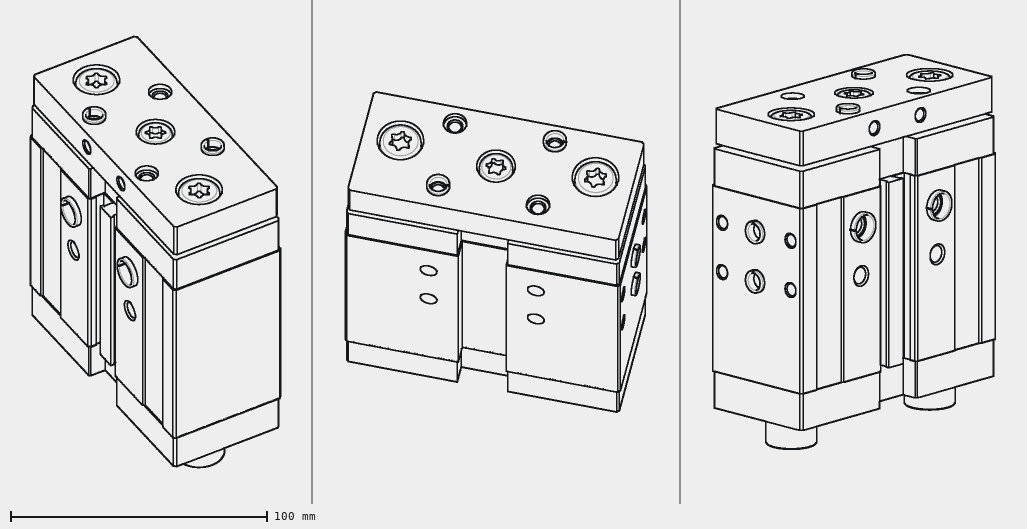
import cadquery as cq
import math


rod_overhang = 12.0
cap_height = 15.0
profile_height = 75.1
yoke_gap = 2.0
yoke_height = 14.0

lower_cap_z = rod_overhang
profile_z = lower_cap_z + cap_height
upper_cap_z = profile_z + profile_height
yoke_z = upper_cap_z + cap_height + yoke_gap
yoke_top = yoke_z + yoke_height

profile_width = 110.0
profile_depth = 48.9
step = 0.49
edge_chamfer = 1.0

slot_half_width = 9.6
slot_depth = 7.1
profile_slot_chamfer = 1.0
cap_slot_chamfer = 0.5
rib_width = 8.1
lip_depth = 3.2
undercut = 0.7
rib_front = 1.8

groove_inner = 31.1
groove_outer = 46.4
groove_depth = 1.0
groove_slope = 0.5

guide_diameter = 20.0
guide_spacing = 77.9
guide_y = -3.5
rod_chamfer = 0.4
piston_rod_diameter = 12.0
guide_x_places = [-guide_spacing / 2, guide_spacing / 2]

screw_head_sink = 0.4
guide_counterbore = 18.0
guide_head_diameter = 16.0
guide_head_height = 10.0
guide_head_rounding = 1.2
guide_torx_tip = 4.5
guide_torx_depth = 4.0
piston_counterbore = 15.0
piston_head_diameter = 13.0
piston_head_height = 8.0
piston_head_rounding = 0.8
piston_torx_tip = 3.9
piston_torx_depth = 3.0

torx_root_ratio = 0.72
torx_flank_ratio = 0.88
torx_lobe_angle = 10.0

small_sleeve = 9.0
small_sleeve_bore = 6.7
small_sleeve_rise = 1.8
large_sleeve = 12.0
large_sleeve_bore = 10.0
large_sleeve_rise = 2.4
sleeve_seat_depth = 2.2
sleeve_slit = 0.4

yoke_hole = 4.9
yoke_hole_sink = 6.0
yoke_hole_x = 20.0
yoke_hole_y = 15.0
yoke_hole_shift = -1.0
blind_hole = 4.9
blind_hole_sink = 5.9
blind_hole_depth = 10.8
drill_point_angle = 118.0
yoke_front_hole_x = 13.0

mount_hole = 6.6
mount_hole_sink = 8.2
mount_x = 21.5
upper_row_depth = 14.0
upper_row_z = upper_cap_z - upper_row_depth
row_spacing = 20.0
lower_row_z = upper_row_z - row_spacing
side_hole_y = 18.5

front_y = -profile_depth / 2
left_x = -profile_width / 2
yoke_front_y = front_y + 2 * step


def facing_up(x, y, z):
    return cq.Plane(origin=(x, y, z), xDir=(-1, 0, 0), normal=(0, 0, 1))


def facing_front(x, y, z):
    return cq.Plane(origin=(x, y, z), xDir=(-1, 0, 0), normal=(0, -1, 0))


def facing_left(x, y, z):
    return cq.Plane(origin=(x, y, z), xDir=(0, 0, 1), normal=(-1, 0, 0))


def cylinder(plane, diameter, start, end):
    return cq.Workplane(plane).workplane(offset=start).circle(diameter / 2).extrude(end - start)


def sunk_hole(plane, diameter, sink_diameter, depth, point=0.0):
    """Drilled hole with a 45 degree countersink and, if point is not zero, a conical bottom."""
    radius = diameter / 2
    sink_radius = sink_diameter / 2
    outline = [
        (0, 0),
        (sink_radius, 0),
        (radius, radius - sink_radius),
        (radius, -depth),
        (0, -depth - point),
    ]
    section = cq.Plane(origin=plane.origin, xDir=plane.xDir, normal=-plane.yDir)
    return cq.Workplane(section).polyline(outline).close().revolve(360, (0, 0), (0, 1))


def below(plane, depth):
    return cq.Plane(origin=plane.origin - plane.zDir * depth, xDir=plane.xDir, normal=plane.zDir)


def blind_sunk_hole(plane):
    point = blind_hole / 2 / math.tan(math.radians(drill_point_angle / 2))
    return sunk_hole(plane, blind_hole, blind_hole_sink, blind_hole_depth, point)


def slotted_block(inset, slot_chamfer, z, height):
    """Block with a chamfered front slot and a plain rear slot, every face moved in by inset."""
    width = profile_width - 2 * inset
    depth = profile_depth - 2 * inset
    slot_half = slot_half_width + inset
    floor_y = depth / 2 - slot_depth
    front = -depth / 2
    block = (
        cq.Workplane().rect(width, depth).extrude(height)
        .edges("|Z").chamfer(edge_chamfer)
    )
    front_slot = (
        cq.Workplane()
        .moveTo(-slot_half - slot_chamfer, front)
        .lineTo(-slot_half, front + slot_chamfer)
        .lineTo(-slot_half, -floor_y)
        .lineTo(slot_half, -floor_y)
        .lineTo(slot_half, front + slot_chamfer)
        .lineTo(slot_half + slot_chamfer, front)
        .close()
        .extrude(height)
    )
    rear_slot = (
        cq.Workplane()
        .center(0, depth / 2 - slot_depth / 2)
        .rect(2 * slot_half, slot_depth)
        .extrude(height)
    )
    return block.cut(front_slot).cut(rear_slot).translate((0, 0, z))


def bore_for_guides(body, z, height):
    for x in guide_x_places:
        body = body.cut(cylinder(facing_up(x, guide_y, z), guide_diameter, 0, height))
    return body


def bore_for_piston_rod(body, z, height):
    return body.cut(cylinder(facing_up(0, 0, z), piston_rod_diameter, 0, height))


yoke_sleeve_planes = [
    facing_up(-yoke_hole_x, yoke_hole_shift - yoke_hole_y, yoke_top),
    facing_up(yoke_hole_x, yoke_hole_shift + yoke_hole_y, yoke_top),
]
yoke_open_planes = [
    facing_up(-yoke_hole_x, yoke_hole_shift + yoke_hole_y, yoke_top),
    facing_up(yoke_hole_x, yoke_hole_shift - yoke_hole_y, yoke_top),
]
side_sleeve_planes = [facing_left(left_x, 0, z) for z in (upper_row_z, lower_row_z)]
front_sleeve_planes = [facing_front(x, front_y, upper_row_z) for x in (-mount_x, mount_x)]


def sensor_groove(side):
    outline = [
        (side * groove_inner, front_y),
        (side * (groove_inner + groove_slope), front_y + groove_depth),
        (side * (groove_outer - groove_slope), front_y + groove_depth),
        (side * groove_outer, front_y),
    ]
    return cq.Workplane().workplane(offset=profile_z).polyline(outline).close().extrude(profile_height)


def profile_rib():
    rib_depth = slot_depth - rib_front
    return (
        cq.Workplane()
        .workplane(offset=profile_z)
        .center(0, front_y + rib_front + rib_depth / 2)
        .rect(rib_width, rib_depth)
        .extrude(profile_height)
    )


def slot_undercut(side):
    """Pocket that widens one channel beside the rib, into the rib and into the slot wall."""
    inner = rib_width / 2 - undercut
    outer = slot_half_width + undercut
    depth = slot_depth - lip_depth
    return (
        cq.Workplane()
        .workplane(offset=profile_z)
        .center(side * (inner + outer) / 2, front_y + lip_depth + depth / 2)
        .rect(outer - inner, depth)
        .extrude(profile_height)
    )


def make_profile():
    body = slotted_block(0, profile_slot_chamfer, profile_z, profile_height).union(profile_rib())
    for side in (-1, 1):
        body = body.cut(sensor_groove(side)).cut(slot_undercut(side))
        lower_mount = facing_front(side * mount_x, front_y, lower_row_z)
        body = body.cut(sunk_hole(lower_mount, mount_hole, mount_hole_sink, profile_depth))
        for z in (upper_row_z, lower_row_z):
            body = body.cut(blind_sunk_hole(facing_left(left_x, side * side_hole_y, z)))
    for plane in front_sleeve_planes:
        body = body.cut(cylinder(plane, large_sleeve, -sleeve_seat_depth, 0))
        seat = below(plane, sleeve_seat_depth)
        body = body.cut(sunk_hole(seat, mount_hole, mount_hole_sink, profile_depth))
    for plane in side_sleeve_planes:
        body = body.cut(cylinder(plane, small_sleeve, -sleeve_seat_depth, 0))
    body = bore_for_guides(body, profile_z, profile_height)
    return bore_for_piston_rod(body, profile_z, profile_height)


def make_lower_cap():
    body = slotted_block(step, cap_slot_chamfer, lower_cap_z, cap_height)
    return bore_for_guides(body, lower_cap_z, cap_height)


def make_upper_cap():
    body = slotted_block(step, cap_slot_chamfer, upper_cap_z, cap_height)
    body = bore_for_guides(body, upper_cap_z, cap_height)
    return bore_for_piston_rod(body, upper_cap_z, cap_height)


def torx_recess(plane, tip_radius, depth, first_lobe_angle):
    def point(ratio, angle):
        radius = ratio * tip_radius
        turn = math.radians(angle)
        return (radius * math.cos(turn), radius * math.sin(turn))

    lobe_count = 6
    pitch = 360 / lobe_count
    outline = cq.Workplane(plane).moveTo(*point(torx_flank_ratio, first_lobe_angle - torx_lobe_angle))
    for lobe in range(lobe_count):
        angle = first_lobe_angle + lobe * pitch
        outline = outline.threePointArc(
            point(1, angle), point(torx_flank_ratio, angle + torx_lobe_angle)
        ).threePointArc(
            point(torx_root_ratio, angle + pitch / 2),
            point(torx_flank_ratio, angle + pitch - torx_lobe_angle),
        )
    return outline.close().extrude(-depth)


def add_screw(body, x, y, counterbore, head_diameter, head_height, head_rounding, torx):
    """Sink a screw head into a counterbore in the yoke top.

    torx holds the tip radius, the depth and the angle of the first lobe of the drive recess.
    """
    top = facing_up(x, y, yoke_top)
    seat = -screw_head_sink - head_height
    head = cylinder(top, head_diameter, seat, -screw_head_sink).faces(">Z").fillet(head_rounding)
    head_top = facing_up(x, y, yoke_top - screw_head_sink)
    head = head.cut(torx_recess(head_top, *torx))
    return body.cut(cylinder(top, counterbore, seat, 0)).union(head)


def make_moving_unit():
    body = (
        cq.Workplane()
        .workplane(offset=yoke_z)
        .rect(profile_width - 4 * step, profile_depth - 4 * step)
        .extrude(yoke_height)
        .edges("|Z").chamfer(edge_chamfer)
    )
    for plane in yoke_sleeve_planes + yoke_open_planes:
        body = body.cut(cylinder(plane, small_sleeve, -sleeve_seat_depth, 0))
        body = body.cut(sunk_hole(below(plane, sleeve_seat_depth), yoke_hole, yoke_hole_sink, yoke_height))
    for side in (-1, 1):
        front_plane = facing_front(side * yoke_front_hole_x, yoke_front_y, yoke_z + yoke_height / 2)
        body = body.cut(blind_sunk_hole(front_plane))
    for x in guide_x_places:
        guide_rod = cylinder(facing_up(x, guide_y, 0), guide_diameter, 0, yoke_z)
        body = body.union(guide_rod.faces("<Z").chamfer(rod_chamfer))
        body = add_screw(
            body, x, guide_y, guide_counterbore, guide_head_diameter, guide_head_height,
            guide_head_rounding, (guide_torx_tip, guide_torx_depth, 90),
        )
    body = body.union(cylinder(facing_up(0, 0, 0), piston_rod_diameter, profile_z, yoke_z))
    return add_screw(
        body, 0, 0, piston_counterbore, piston_head_diameter, piston_head_height,
        piston_head_rounding, (piston_torx_tip, piston_torx_depth, 0),
    )


def make_sleeve(plane, diameter, bore, rise):
    """Ring seated in its recess, with a fully rounded free end and a slit along local X."""
    length = sleeve_seat_depth + rise
    outer = diameter / 2
    inner = bore / 2
    shoulder = rise - (outer - inner) / 2
    ring = (
        cq.Workplane("XZ")
        .moveTo(inner, -sleeve_seat_depth)
        .lineTo(outer, -sleeve_seat_depth)
        .lineTo(outer, shoulder)
        .threePointArc(((inner + outer) / 2, rise), (inner, shoulder))
        .close()
        .revolve(360, (0, 0), (0, 1))
    )
    slit = (
        cq.Workplane()
        .workplane(offset=-sleeve_seat_depth)
        .center(diameter / 4, 0)
        .rect(diameter / 2, sleeve_slit)
        .extrude(length)
    )
    return ring.cut(slit).val().located(cq.Location(plane))


profile = make_profile()
lower_cap = make_lower_cap()
upper_cap = make_upper_cap()
moving_unit = make_moving_unit()
small_sleeves = [
    make_sleeve(plane, small_sleeve, small_sleeve_bore, small_sleeve_rise)
    for plane in yoke_sleeve_planes + side_sleeve_planes
]
large_sleeves = [
    make_sleeve(plane, large_sleeve, large_sleeve_bore, large_sleeve_rise)
    for plane in front_sleeve_planes
]

result = cq.Compound.makeCompound(
    [profile.val(), lower_cap.val(), upper_cap.val(), moving_unit.val(), *small_sleeves, *large_sleeves]
)